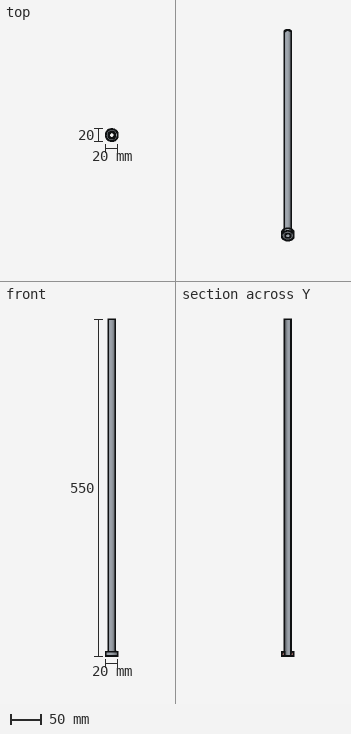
import cadquery as cq

overall_length = 550.0
head_diameter = 20.0
head_height = 7.0
tube_diameter = 12.0
bore_diameter = 9.0
root_radius = 0.7


def make_section():
    """Half section in the XZ plane, on the -X side of the axis, from bore to outside."""
    bore_x = -bore_diameter / 2
    tube_x = -tube_diameter / 2
    head_x = -head_diameter / 2
    return (
        cq.Workplane("XZ")
        .moveTo(bore_x, 0)
        .lineTo(head_x, 0)
        .lineTo(head_x, head_height)
        .lineTo(tube_x - root_radius, head_height)
        .radiusArc((tube_x, head_height + root_radius), -root_radius)
        .lineTo(tube_x, overall_length)
        .lineTo(bore_x, overall_length)
        .close()
    )


result = make_section().revolve(360, (0, 0, 0), (0, 1, 0))